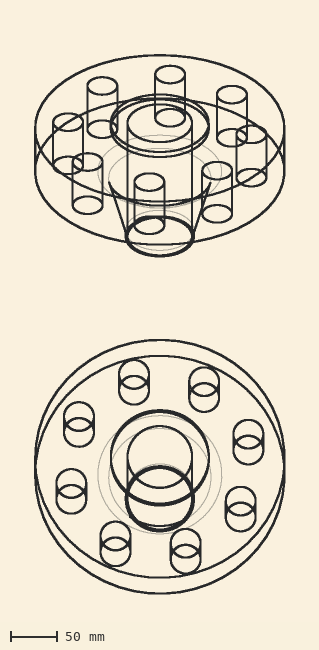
import cadquery as cq
import math

total_height = 149.4
flange_diameter = 266.7
flange_thickness = 57.0
raised_face_diameter = 104.8
raised_face_height = 6.7
bore_diameter = 69.0

weld_end_diameter = 73.0
weld_end_height = 8.0
taper_top_diameter = 109.3
root_fillet_radius = 12.0
taper_angle = math.radians(15)

bolt_count = 8
bolt_hole_diameter = 32.0
bolt_circle_diameter = 197.0

flange_top = total_height - raised_face_height
flange_bottom = flange_top - flange_thickness

fillet_center_r = taper_top_diameter / 2 + root_fillet_radius * math.cos(taper_angle)
fillet_center_z = flange_bottom - root_fillet_radius
taper_top_z = fillet_center_z + root_fillet_radius * math.sin(taper_angle)
arc_mid_angle = (math.pi / 2 + math.pi - taper_angle) / 2
arc_mid = (
    fillet_center_r + root_fillet_radius * math.cos(arc_mid_angle),
    fillet_center_z + root_fillet_radius * math.sin(arc_mid_angle),
)


def make_body():
    """Revolve the half section of flange, neck and raised face, bore included."""
    return (
        cq.Workplane("XZ")
        .moveTo(bore_diameter / 2, 0)
        .lineTo(weld_end_diameter / 2, 0)
        .lineTo(weld_end_diameter / 2, weld_end_height)
        .lineTo(taper_top_diameter / 2, taper_top_z)
        .threePointArc(arc_mid, (fillet_center_r, flange_bottom))
        .lineTo(flange_diameter / 2, flange_bottom)
        .lineTo(flange_diameter / 2, flange_top)
        .lineTo(raised_face_diameter / 2, flange_top)
        .lineTo(raised_face_diameter / 2, total_height)
        .lineTo(bore_diameter / 2, total_height)
        .close()
        .revolve(360, (0, 0, 0), (0, 1, 0))
    )


def make_bolt_holes():
    """Cylinders that pass through the flange on the bolt circle."""
    return (
        cq.Workplane("XY", origin=(0, 0, flange_bottom))
        .polarArray(bolt_circle_diameter / 2, 0, 360, bolt_count)
        .circle(bolt_hole_diameter / 2)
        .extrude(flange_thickness)
    )


result = make_body().cut(make_bolt_holes())